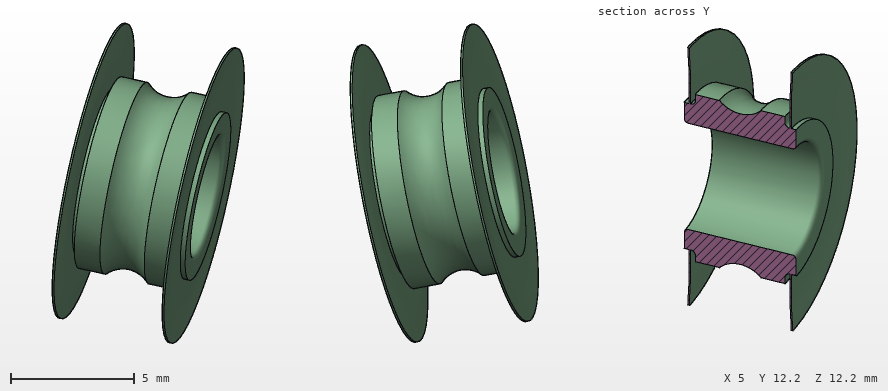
import cadquery as cq
import math

total_width = 5.0
bore_radius = 2.5
bore_edge_round = 0.2
hub_radius = 3.46
roller_width = 4.0
roller_radius = 3.96

groove_width = 1.85
groove_depth = 0.39

flange_radius = 6.1
flange_thickness = 0.09
flange_rim_face = 2.34
dish_offset = 0.05
dish_start_radius = 4.76

hub_fillet = flange_rim_face - dish_offset - flange_thickness - roller_width / 2


def make_spool_body():
    """Hub, filleted roller shoulders and round groove, revolved about X."""
    blank = cq.Workplane("YZ").circle(hub_radius).extrude(total_width / 2, both=True)
    roller = cq.Workplane("YZ").circle(roller_radius).extrude(roller_width / 2, both=True)
    half_groove = groove_width / 2
    groove = (
        cq.Workplane("XY")
        .moveTo(-half_groove, roller_radius)
        .threePointArc((0, roller_radius - groove_depth), (half_groove, roller_radius))
        .close()
        .revolve(360, (0, 0, 0), (1, 0, 0))
    )
    return blank.union(roller).cut(groove)


def make_shoulder_fillet():
    """Concave ring easing the hub into the +X face of the roller."""
    face_x = roller_width / 2
    arc_middle = hub_fillet * (1 - math.sqrt(0.5))
    return (
        cq.Workplane("XY")
        .moveTo(face_x, hub_radius)
        .lineTo(face_x + hub_fillet, hub_radius)
        .threePointArc(
            (face_x + arc_middle, hub_radius + arc_middle),
            (face_x, hub_radius + hub_fillet),
        )
        .close()
        .revolve(360, (0, 0, 0), (1, 0, 0))
    )


def make_flange():
    """Thin +X sheet disc whose rim bends outward in a shallow S of two tangent arcs."""
    web_x = flange_rim_face - dish_offset
    bend_x = web_x + dish_offset / 2
    bend_radius = (dish_start_radius + flange_radius) / 2
    root_radius = (bore_radius + hub_radius) / 2

    def sheet_blank(shift):
        """Solid from the middle plane out to the dished surface, moved along X by shift."""
        return (
            cq.Workplane("XY")
            .moveTo(0, root_radius)
            .lineTo(web_x + shift, root_radius)
            .lineTo(web_x + shift, dish_start_radius)
            .tangentArcPoint((bend_x + shift, bend_radius), relative=False)
            .tangentArcPoint((flange_rim_face + shift, flange_radius), relative=False)
            .lineTo(0, flange_radius)
            .close()
            .revolve(360, (0, 0, 0), (1, 0, 0))
        )

    return sheet_blank(0).cut(sheet_blank(-flange_thickness))


side_features = make_flange().union(make_shoulder_fillet())
spool = make_spool_body().union(side_features).union(side_features.mirror("YZ"))
bore = cq.Workplane("YZ").circle(bore_radius).extrude(total_width / 2, both=True)
bore_mouths = cq.selectors.RadiusNthSelector(0)
result = spool.cut(bore).faces("<X or >X").edges(bore_mouths).fillet(bore_edge_round)